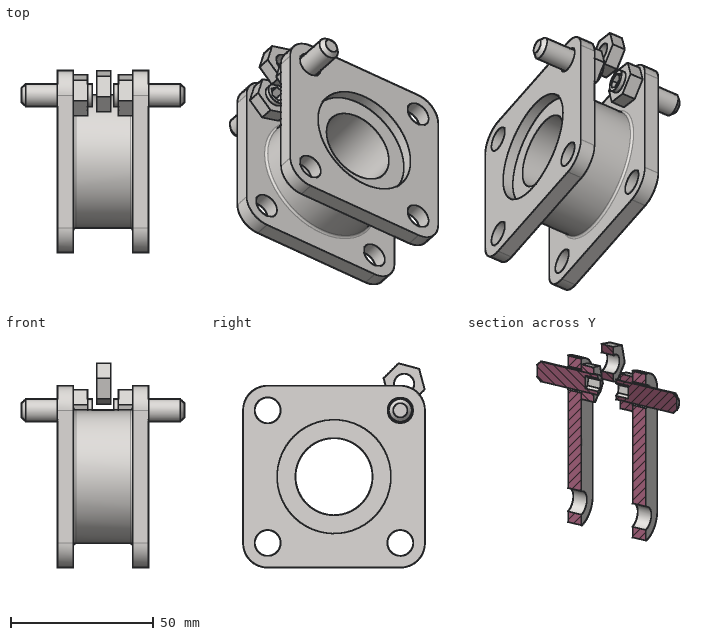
import cadquery as cq
import math

spool_length = 32.0
flange_size = 64.0
flange_thickness = 5.6
bolt_hole_spacing = 46.6
bolt_hole_diameter = 9.0
neck_diameter = 47.0
neck_fillet = 0.8
bore_diameter = 27.0
recess_diameter = 40.0
recess_depth = 4.0

stud_diameter = 8.0
stud_length = 25.0
stud_outer_reach = 28.695
stud_chamfer_length = 1.6
stud_tip_diameter = 5.0
socket_width_across_flats = 5.0
socket_depth = 5.0
socket_turn = 82.0

nut_width_across_flats = 13.0
nut_height = 5.0
loose_nut_bore = 7.0
nut_turn = 45.0
loose_nut_center = (0.25, 24.64, 32.61)

half_length = spool_length / 2
bolt_offset = bolt_hole_spacing / 2
flange_corner_radius = flange_size / 2 - bolt_offset
flange_inner_face = half_length - flange_thickness
seated_nut_x = flange_inner_face - nut_height / 2
stud_center_x = stud_outer_reach - stud_length / 2


def corner_diameter(width_across_flats):
    """Diameter across the corners of a regular hexagon."""
    return width_across_flats / math.cos(math.radians(30))


def x_cylinder(diameter, x_start, length):
    """Cylinder on the spool axis, running in +X from x_start."""
    return cq.Workplane("YZ").workplane(offset=x_start).circle(diameter / 2).extrude(length)


def make_flange(x_start):
    """Square flange with rounded corners and a bolt hole in each corner."""
    blank = (
        cq.Workplane("YZ")
        .workplane(offset=x_start)
        .rect(flange_size, flange_size)
        .extrude(flange_thickness)
        .edges("|X")
        .fillet(flange_corner_radius)
    )
    return (
        blank.faces(">X")
        .workplane(origin=(0, 0, 0))
        .rect(bolt_hole_spacing, bolt_hole_spacing, forConstruction=True)
        .vertices()
        .hole(bolt_hole_diameter)
    )


def make_neck():
    """Neck between the flanges, flaring into each flange through a concave fillet."""
    radius = neck_diameter / 2
    straight_end = flange_inner_face - neck_fillet
    fillet_middle = neck_fillet * (1 - math.sqrt(0.5))
    return (
        cq.Workplane("XY")
        .moveTo(-flange_inner_face, 0)
        .lineTo(-flange_inner_face, radius + neck_fillet)
        .threePointArc(
            (-flange_inner_face + fillet_middle, radius + fillet_middle),
            (-straight_end, radius),
        )
        .lineTo(straight_end, radius)
        .threePointArc(
            (flange_inner_face - fillet_middle, radius + fillet_middle),
            (flange_inner_face, radius + neck_fillet),
        )
        .lineTo(flange_inner_face, 0)
        .close()
        .revolve(360, (0, 0, 0), (1, 0, 0))
    )


def make_spool():
    """Flanges and neck in one body, bored through and recessed at both ends."""
    return (
        make_flange(-half_length)
        .union(make_neck())
        .union(make_flange(flange_inner_face))
        .cut(x_cylinder(bore_diameter, -half_length, spool_length))
        .cut(x_cylinder(recess_diameter, -half_length, recess_depth))
        .cut(x_cylinder(recess_diameter, half_length - recess_depth, recess_depth))
    )


def make_stud(side):
    """Stud through the top rear bolt hole on the -X (-1) or +X (+1) side.

    The outer end is chamfered and the inner end has a hexagonal socket.
    """
    outer_selector = ">X" if side > 0 else "<X"
    chamfer_depth = (stud_diameter - stud_tip_diameter) / 2
    rod = x_cylinder(stud_diameter, side * stud_center_x - stud_length / 2, stud_length)
    chamfered = rod.faces(outer_selector).chamfer(stud_chamfer_length, chamfer_depth)
    socket = (
        cq.Workplane("YZ")
        .workplane(offset=side * (stud_outer_reach - stud_length))
        .polygon(6, corner_diameter(socket_width_across_flats))
        .extrude(side * socket_depth)
        .rotate((0, 0, 0), (1, 0, 0), socket_turn)
    )
    return chamfered.cut(socket).translate((0, bolt_offset, bolt_offset))


def make_nut(center, bore):
    """Hexagonal nut with its axis along X."""
    return (
        cq.Workplane("YZ")
        .polygon(6, corner_diameter(nut_width_across_flats))
        .circle(bore / 2)
        .extrude(nut_height / 2, both=True)
        .rotate((0, 0, 0), (1, 0, 0), nut_turn)
        .translate(center)
    )


spool = make_spool()
studs = [make_stud(side) for side in (-1, 1)]
seated_nuts = [
    make_nut((side * seated_nut_x, bolt_offset, bolt_offset), stud_diameter)
    for side in (-1, 1)
]
loose_nut = make_nut(loose_nut_center, loose_nut_bore)

bodies = [spool, *studs, *seated_nuts, loose_nut]
result = cq.Compound.makeCompound([body.val() for body in bodies])